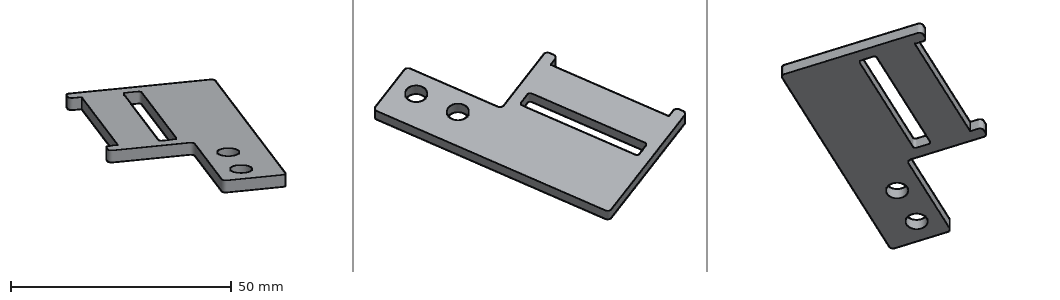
import cadquery as cq

length = 62.0
depth = 35.0
thickness = 3.0
body_width = 37.0
arm_depth = 15.0
corner_radius = 1.0

leg_width = 3.0
leg_length = 3.0
notch_width = body_width - 2 * leg_width

slot_bottom = 12.7
slot_height = 4.2
slot_corner_radius = 0.6

hole_diameter = 5.0
hole_centres_x = (45.0, 56.0)
hole_drop = 9.05


def block(x, y, width, height):
    """Full-thickness block with its lower left corner at (x, y)."""
    return cq.Workplane("XY").box(width, height, thickness, centered=False).translate((x, y, 0))


body = block(0, 0, body_width, depth)
arm = block(0, depth - arm_depth, length, arm_depth)
plate = body.union(arm).edges("|Z").fillet(corner_radius)

notch = block(leg_width, 0, notch_width, leg_length)
plate = plate.cut(notch)
for tip_x in (leg_width, body_width - leg_width):
    tip_edge = cq.selectors.NearestToPointSelector((tip_x, 0, thickness / 2))
    plate = plate.edges("|Z").edges(tip_edge).fillet(corner_radius)

slot = block(leg_width, slot_bottom, notch_width, slot_height).edges("|Z").fillet(slot_corner_radius)
plate = plate.cut(slot)

hole_centres = [(x, depth - hole_drop) for x in hole_centres_x]
holes = cq.Workplane("XY").pushPoints(hole_centres).circle(hole_diameter / 2).extrude(thickness)

result = plate.cut(holes)